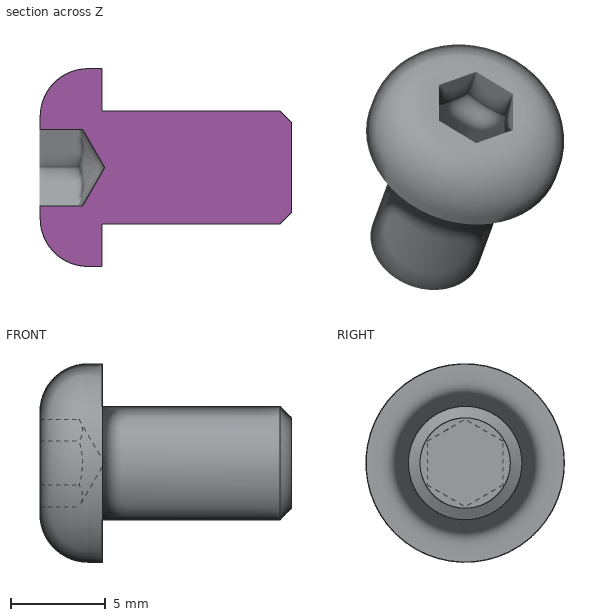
import cadquery as cq
import math

total_length = 13.3
head_diameter = 10.5
head_height = 3.3
rim_height = 0.75
shank_diameter = 6.0
tip_chamfer = 0.61
socket_across_flats = 4.0
socket_depth = 2.07
socket_cone_angle = 120.0

head_radius = head_diameter / 2
dome_radius = head_height - rim_height
socket_corner_radius = socket_across_flats / 2 / math.cos(math.radians(30))


def make_head():
    """Disc whose front edge is rounded, leaving a flat ring and a straight rim."""
    disc = cq.Workplane("YZ").circle(head_radius).extrude(head_height)
    return disc.faces("<X").edges().fillet(dome_radius)


def make_shank():
    """Plain cylinder from the head to the chamfered tip."""
    shank = (
        cq.Workplane("YZ", origin=(head_height, 0, 0))
        .circle(shank_diameter / 2)
        .extrude(total_length - head_height)
    )
    return shank.faces(">X").edges().chamfer(tip_chamfer)


def make_socket():
    """Hexagonal recess with corners on the Z axis and a conical bottom."""
    cone_depth = socket_corner_radius / math.tan(math.radians(socket_cone_angle / 2))
    bore = (
        cq.Workplane("XY")
        .polyline([
            (0, 0),
            (0, socket_corner_radius),
            (socket_depth, socket_corner_radius),
            (socket_depth + cone_depth, 0),
        ])
        .close()
        .revolve(360, (0, 0, 0), (1, 0, 0))
    )
    hexagon = (
        cq.Workplane("YZ")
        .transformed(rotate=(0, 0, 90))
        .polygon(6, 2 * socket_corner_radius)
        .extrude(socket_depth + cone_depth)
    )
    return hexagon.intersect(bore)


result = make_head().union(make_shank()).cut(make_socket())